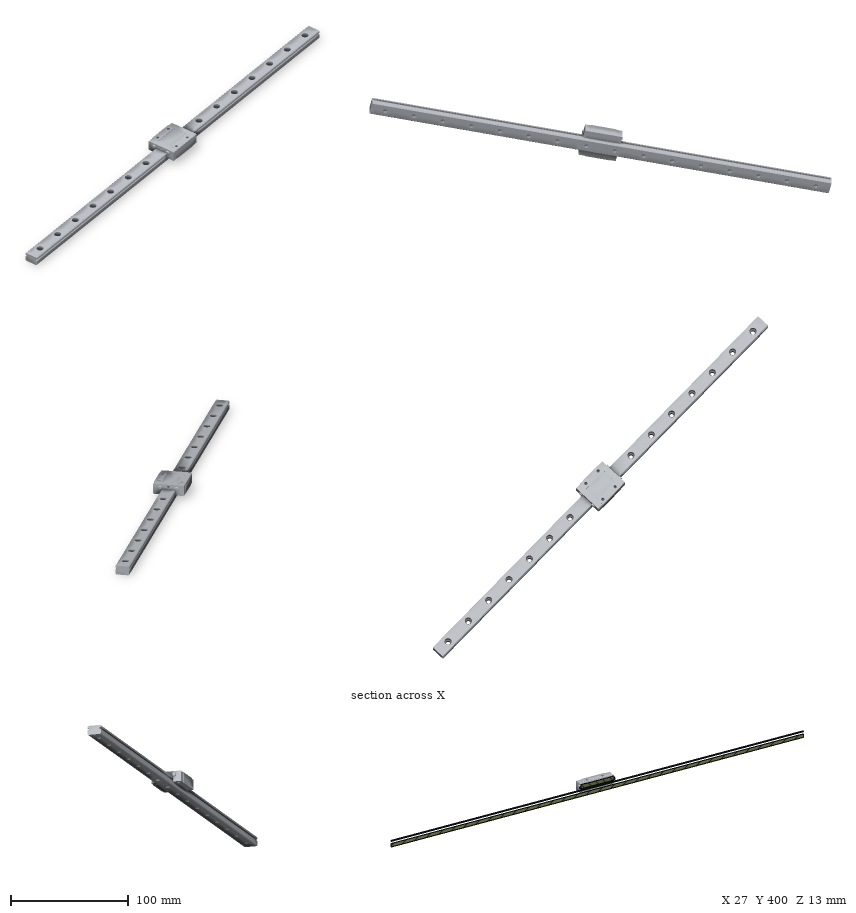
import cadquery as cq

rail_length = 400.0
total_height = 13.0

rail_width = 12.0
rail_height = 8.0
rail_chamfer = 0.6
groove_mid_height = 5.0
groove_opening = 1.5
groove_depth = 1.25

hole_count = 16
hole_pitch = rail_length / hole_count
bolt_hole_diameter = 3.5
counterbore_diameter = 6.0
counterbore_depth = 4.5

carriage_width = 27.0
carriage_length = 32.5
block_length = 22.0
cap_length = (carriage_length - block_length) / 2
carriage_bottom = 3.0
carriage_height = total_height - carriage_bottom
block_chamfer = 0.35
cap_inset = 0.2
cap_chamfer = 0.6
recess_width = 13.0
recess_depth = 0.5

tapped_diameter = 2.5
tapped_mouth_diameter = 3.0
tapped_depth = 3.5
tapped_spacing_x = 20.0
tapped_spacing_y = 15.0

lube_diameter = 2.3
lube_height = 10.5

head_diameter = 3.5
head_height = 1.0
head_rounding = 0.6
screw_spacing = 14.5
screw_height = 9.5


def make_rail():
    """Rail lying along Y, with a ball groove in each side and counterbored holes."""
    half_width = rail_width / 2
    rail = (
        cq.Workplane("XY")
        .box(rail_width, rail_length, rail_height, centered=(True, True, False))
        .edges("|Y")
        .chamfer(rail_chamfer)
    )
    for side in (-1, 1):
        groove = (
            cq.Workplane("XZ", origin=(0, rail_length / 2, 0))
            .moveTo(side * half_width, groove_mid_height - groove_opening / 2)
            .threePointArc(
                (side * (half_width - groove_depth), groove_mid_height),
                (side * half_width, groove_mid_height + groove_opening / 2),
            )
            .close()
            .extrude(rail_length)
        )
        rail = rail.cut(groove)
    return (
        rail.faces(">Z")
        .workplane(origin=(0, 0, rail_height))
        .rarray(4, hole_pitch, 1, hole_count)
        .cboreHole(bolt_hole_diameter, counterbore_diameter, counterbore_depth)
    )


def make_carriage_section(length, y_center, inset, chamfer):
    """Stretch of the carriage, set in on its top, bottom and sides, with two long top edges chamfered."""
    width = carriage_width - 2 * inset
    height = carriage_height - 2 * inset
    return (
        cq.Workplane("XY", origin=(0, y_center, carriage_bottom + inset))
        .box(width, length, height, centered=(True, True, False))
        .edges("|Y and >Z")
        .chamfer(chamfer)
    )


def make_carriage():
    """Carriage that straddles the rail, with an end cap at each end of its block."""
    carriage = make_carriage_section(block_length, 0, 0, block_chamfer)
    for end in (-1, 1):
        cap_center = end * (block_length + cap_length) / 2
        cap = make_carriage_section(cap_length, cap_center, cap_inset, cap_chamfer)
        carriage = carriage.union(cap)

    channel = cq.Workplane("XY").box(
        rail_width, carriage_length, rail_height, centered=(True, True, False)
    )
    carriage = carriage.cut(channel)

    recess = cq.Workplane("XY", origin=(0, 0, total_height - recess_depth)).box(
        recess_width, block_length, recess_depth, centered=(True, True, False)
    )
    carriage = carriage.cut(recess)

    tapped_centers = cq.Workplane("XY", origin=(0, 0, total_height)).rarray(
        tapped_spacing_x, tapped_spacing_y, 2, 2
    )
    carriage = carriage.cut(tapped_centers.circle(tapped_diameter / 2).extrude(-tapped_depth))
    mouth_depth = (tapped_mouth_diameter - tapped_diameter) / 2
    mouths = tapped_centers.circle(tapped_mouth_diameter / 2).extrude(-mouth_depth, taper=45)
    carriage = carriage.cut(mouths)

    for end in (-1, 1):
        lube_hole = (
            cq.Workplane("XZ", origin=(0, end * carriage_length / 2, lube_height))
            .circle(lube_diameter / 2)
            .extrude(end * cap_length)
        )
        carriage = carriage.cut(lube_hole)
    return carriage


def make_screw(x, end):
    """Screw head with a rounded rim, seated on an end face of the carriage."""
    outer_face = ">Y" if end > 0 else "<Y"
    return (
        cq.Workplane("XZ", origin=(x, end * carriage_length / 2, screw_height))
        .circle(head_diameter / 2)
        .extrude(-end * head_height)
        .faces(outer_face)
        .edges()
        .fillet(head_rounding)
    )


rail = make_rail()
carriage = make_carriage()
screws = []
for end in (-1, 1):
    for side in (-1, 1):
        screws.append(make_screw(side * screw_spacing / 2, end))

result = cq.Compound.makeCompound([rail.val(), carriage.val(), *[screw.val() for screw in screws]])